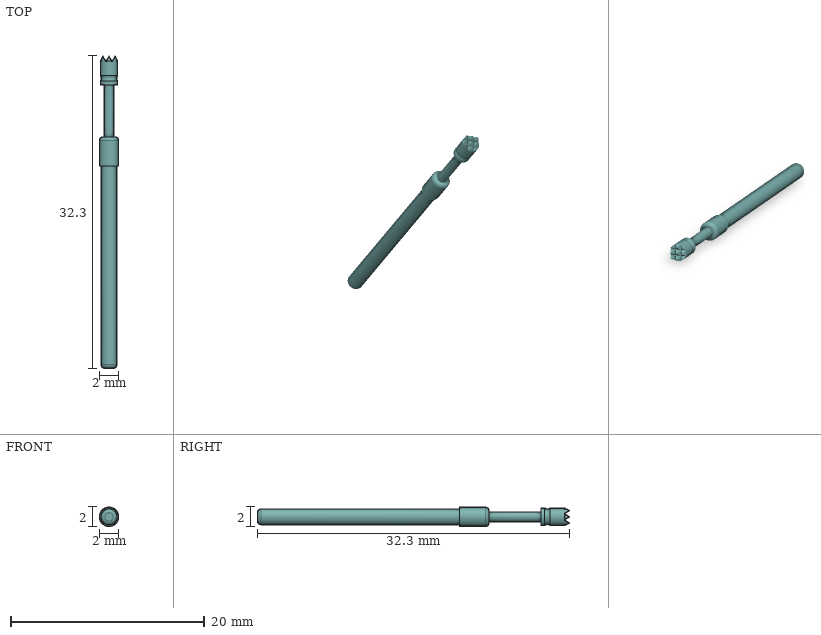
import cadquery as cq
import math

total_length = 32.3
tip_y = total_length / 2
head_diameter = 1.8
head_length = 2.97
groove_start = 2.0
groove_width = 0.58
groove_depth = 0.1
stem_diameter = 1.03
collar_start = 8.33
collar_length = 3.05
collar_diameter = 2.0
barrel_diameter = 1.65
end_rounding = 0.4

point_spacing = 0.65
cut_angle = 62.0
inner_cut_depth = point_spacing / 2 / math.tan(math.radians(cut_angle / 2))
outer_cut_depth = 0.65
inner_cut_offset = point_spacing / 2
outer_cut_offset = inner_cut_offset + point_spacing
crown_cuts = [
    (-outer_cut_offset, outer_cut_depth),
    (-inner_cut_offset, inner_cut_depth),
    (inner_cut_offset, inner_cut_depth),
    (outer_cut_offset, outer_cut_depth),
]


def cylinder(diameter, start, length):
    """Round section on the probe axis, running from start towards -Y."""
    return cq.Workplane("XZ", origin=(0, tip_y - start, 0)).circle(diameter / 2).extrude(length)


def make_head():
    """Head with a shallow round-bottomed groove turned into its side."""
    head = cylinder(head_diameter, 0, head_length)
    radius = head_diameter / 2
    groove_top = tip_y - groove_start
    groove_middle = groove_top - groove_width / 2
    groove_bottom = groove_top - groove_width
    groove = (
        cq.Workplane("XY")
        .moveTo(radius, groove_top)
        .threePointArc((radius - groove_depth, groove_middle), (radius, groove_bottom))
        .close()
        .revolve(360, (0, 0, 0), (0, 1, 0))
    )
    return head.cut(groove)


def crown_cut(offset, depth):
    """V-cut across the head end, running along Z at X = offset."""
    half_width = point_spacing / 2
    return (
        cq.Workplane("XY")
        .moveTo(offset - half_width, tip_y)
        .lineTo(offset, tip_y - depth)
        .lineTo(offset + half_width, tip_y)
        .close()
        .extrude(head_diameter, both=True)
    )


def cut_crown(head):
    """Cut the crown points with two sets of V-cuts at right angles."""
    for offset, depth in crown_cuts:
        cut = crown_cut(offset, depth)
        head = head.cut(cut)
        head = head.cut(cut.rotate((0, 0, 0), (0, 1, 0), 90))
    return head


def make_collar():
    """Press ring with a rounded front edge."""
    return cylinder(collar_diameter, collar_start, collar_length).faces(">Y").edges().fillet(end_rounding)


def make_barrel():
    """Long barrel with a rounded tail."""
    barrel_start = collar_start + collar_length
    barrel = cylinder(barrel_diameter, barrel_start, total_length - barrel_start)
    return barrel.faces("<Y").edges().fillet(end_rounding)


head = cut_crown(make_head())
stem = cylinder(stem_diameter, head_length, collar_start - head_length)
result = head.union(stem).union(make_collar()).union(make_barrel())